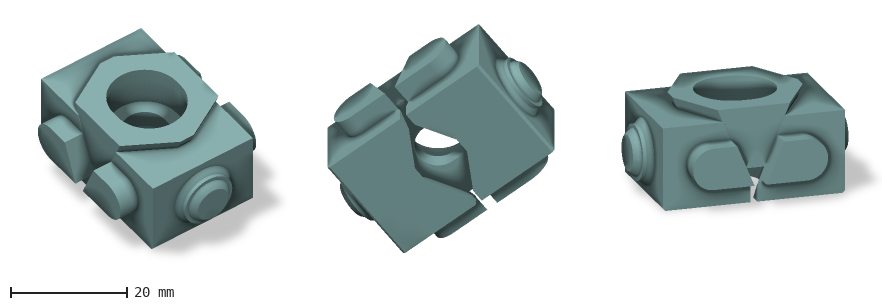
import cadquery as cq
import math

JAW_OUTER_X = 16.5
JAW_HEIGHT = 15.0
JAW_DEPTH = 21.2
JAW_GAP = 1.3
JAW_CHAMFER = 0.45

LUG_SPAN = 28.8
LUG_RADIUS = 3.75
LUG_CENTER_X = 8.45
LUG_CENTER_Z = 7.95

BUTTON_BASE_RADIUS = 5.95
BUTTON_RIM_RADIUS = 5.0
BUTTON_TIP_X = 19.5
CONE_LENGTH = BUTTON_BASE_RADIUS - BUTTON_RIM_RADIUS
RIM_LENGTH = 0.75
DOME_BASE_RADIUS = 4.25
DOME_MID_RADIUS = 3.9
DOME_TIP_RADIUS = 3.25

TOP_Z = 17.28
WEDGE_BOTTOM_Z = 6.2
WEDGE_DEPTH = 21.0
WEDGE_HALF_LENGTH = 11.78
WEDGE_END_HALF_WIDTH = 1.45
FACE_PLAN_ANGLE = 30
WEDGE_LEAN_ANGLE = 22.7

SLOT_TRAVEL = 1.3
SLOT_WIDTH = 8.1
COUNTERBORE_WIDTH = 13.3
COUNTERBORE_DEPTH = 7.7

CUT_MARGIN = 1.95

SHOULDER_Y = WEDGE_DEPTH / 2
SHOULDER_X = WEDGE_HALF_LENGTH - (SHOULDER_Y - WEDGE_END_HALF_WIDTH) * math.tan(
    math.radians(FACE_PLAN_ANGLE)
)
LEAN = math.tan(math.radians(WEDGE_LEAN_ANGLE))


def leaning_prism(half_width, bottom_z):
    """Prism leaning toward -X going down, with its faceted side at +X.

    The faceted side is straight in Y beyond the wedge shoulders, out to half_width.
    """
    back_x = -2 * JAW_OUTER_X
    half_outline = [
        (back_x, half_width),
        (SHOULDER_X, half_width),
        (SHOULDER_X, SHOULDER_Y),
        (WEDGE_HALF_LENGTH, WEDGE_END_HALF_WIDTH),
    ]
    if half_width == SHOULDER_Y:
        half_outline.pop(1)
    outline = half_outline + [(x, -y) for x, y in reversed(half_outline)]

    shift = LEAN * (TOP_Z - bottom_z)
    top = cq.Wire.makePolygon([cq.Vector(x, y, TOP_Z) for x, y in outline], close=True)
    bottom = cq.Wire.makePolygon(
        [cq.Vector(x - shift, y, bottom_z) for x, y in outline], close=True
    )
    return cq.Workplane(cq.Solid.makeLoft([bottom, top], True))


def make_wedge():
    right_half = leaning_prism(SHOULDER_Y, WEDGE_BOTTOM_Z)
    body = right_half.intersect(right_half.mirror("YZ"))
    top = cq.Workplane().workplane(offset=TOP_Z)
    counterbore = top.slot2D(COUNTERBORE_WIDTH + SLOT_TRAVEL, COUNTERBORE_WIDTH).extrude(
        -COUNTERBORE_DEPTH
    )
    through_slot = top.slot2D(SLOT_WIDTH + SLOT_TRAVEL, SLOT_WIDTH).extrude(-TOP_Z)
    return body.cut(counterbore).cut(through_slot)


def make_block():
    return (
        cq.Workplane()
        .box(JAW_OUTER_X, JAW_DEPTH, JAW_HEIGHT, centered=(False, True, False))
        .faces(">X")
        .edges("<Z")
        .chamfer(JAW_CHAMFER)
    )


def make_lugs():
    """Round-ended bar through the block that forms the lugs at both ends."""
    bar = cq.Workplane().box(LUG_CENTER_X, LUG_SPAN, 2 * LUG_RADIUS, centered=(False, True, True))
    round_end = (
        cq.Workplane("XZ").center(LUG_CENTER_X, 0).circle(LUG_RADIUS).extrude(LUG_SPAN / 2, both=True)
    )
    return bar.union(round_end).translate((0, 0, LUG_CENTER_Z))


def make_button():
    """Cone, rim and dome turned about an X axis at mid-height of the jaw."""
    rim_x = JAW_OUTER_X + CONE_LENGTH
    dome_x = rim_x + RIM_LENGTH
    profile = (
        cq.Workplane("XY")
        .moveTo(JAW_OUTER_X, 0)
        .lineTo(JAW_OUTER_X, BUTTON_BASE_RADIUS)
        .lineTo(rim_x, BUTTON_RIM_RADIUS)
        .lineTo(dome_x, BUTTON_RIM_RADIUS)
        .lineTo(dome_x, DOME_BASE_RADIUS)
        .threePointArc(((dome_x + BUTTON_TIP_X) / 2, DOME_MID_RADIUS), (BUTTON_TIP_X, DOME_TIP_RADIUS))
        .lineTo(BUTTON_TIP_X, 0)
        .close()
    )
    return profile.revolve(360, (0, 0, 0), (1, 0, 0)).translate((0, 0, JAW_HEIGHT / 2))


def make_jaw():
    """Jaw on the +X side, hollowed to the leaning faces of the wedge."""
    wedge_recess = leaning_prism(LUG_SPAN / 2 + CUT_MARGIN, -CUT_MARGIN)
    gap_cut = cq.Workplane().box(JAW_GAP, 2 * LUG_SPAN, 2 * TOP_Z)
    return make_block().union(make_lugs()).union(make_button()).cut(wedge_recess).cut(gap_cut)


wedge = make_wedge()
jaw = make_jaw()
jaws = [jaw.rotate((0, 0, 0), (0, 0, 1), angle) for angle in (0, 180)]

result = cq.Compound.makeCompound([wedge.val(), *[copy.val() for copy in jaws]])